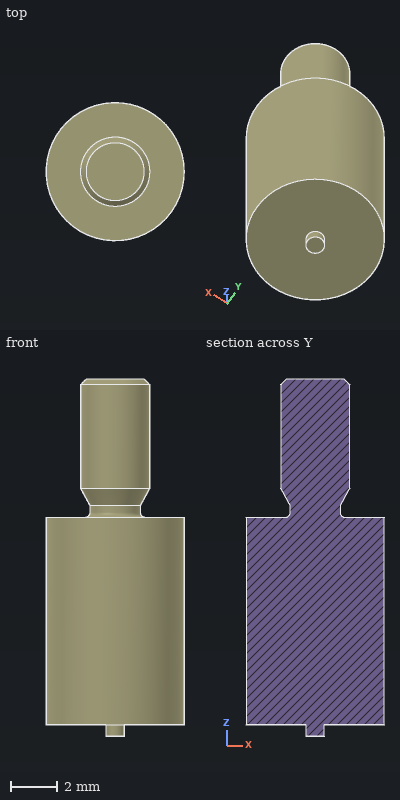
import cadquery as cq

total_height = 15.5
pin_diameter = 0.8
pin_length = 0.5
body_diameter = 6.0
body_length = 9.0
stud_diameter = 3.0
stud_chamfer = 0.25
neck_diameter = 2.2
neck_fillet = 0.2
neck_height = 0.51
cone_height = 0.75

pin_radius = pin_diameter / 2
body_radius = body_diameter / 2
stud_radius = stud_diameter / 2
neck_radius = neck_diameter / 2
body_top = pin_length + body_length
cone_bottom = body_top + neck_height
cone_top = cone_bottom + cone_height

profile = (
    cq.Workplane("XZ")
    .lineTo(pin_radius, 0)
    .lineTo(pin_radius, pin_length)
    .lineTo(body_radius, pin_length)
    .lineTo(body_radius, body_top)
    .lineTo(neck_radius + neck_fillet, body_top)
    .radiusArc((neck_radius, body_top + neck_fillet), neck_fillet)
    .lineTo(neck_radius, cone_bottom)
    .lineTo(stud_radius, cone_top)
    .lineTo(stud_radius, total_height - stud_chamfer)
    .lineTo(stud_radius - stud_chamfer, total_height)
    .lineTo(0, total_height)
    .close()
)

result = profile.revolve(360, (0, 0, 0), (0, 1, 0))